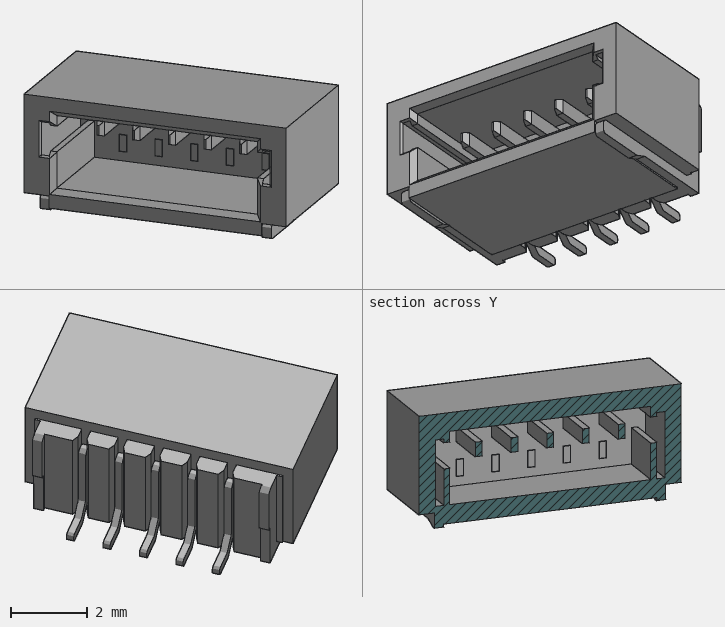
import cadquery as cq
import math


body_width = 7.36
body_depth = 3.7
body_top = 3.14
side_bottom = 0.42
floor_bottom = 0.08
floor_width = 5.96

wall_face = 2.8
cavity_width = 5.62
cavity_bottom = 0.61
cavity_top = 2.61
cavity_lead_in = 0.15
key_middle = 1.965
key_width = 6.42
key_height = 0.91
key_lead_in = 0.05
neck_height = 0.71
neck_lead_in = key_lead_in + (key_height - neck_height) / 2
neck_outer_width = 5.98
key_floor = cavity_bottom

rear_width = 6.49
rear_face = 4.19
rear_top = 2.83
rear_bottom = 0.13
ledge_width = 6.8
ledge_face = 3.75
slot_width = 0.24
slot_flare = 0.095
slot_flare_depth = 0.19

pin_count = 5
pin_pitch = 1.0
pin_width = 0.2
contact_tip = 1.0
contact_bottom = 1.825
contact_top = 2.24
tip_bevel = 0.07
tip_slope = 70
tip_length = tip_bevel * math.tan(math.radians(tip_slope))
barb_bottom = 0.875
barb_top = 1.34
barb_tip = wall_face - 0.04
riser_face = 4.055
crown_radius = 0.18
crown_flat = 0.045
crown_top = 2.355
foot_end = 5.05
foot_thickness = 0.26
foot_end_radius = 0.1
foot_top_bend = 4.395
foot_bottom_bend = 4.3
foot_bend_radius = 0.12
riser_bend_radius = 0.155

clip_thickness = (rear_width - floor_width) / 2
clip_front = 0.045
clip_back = 4.3
clip_pad_end = 1.52
clip_pad_slope_end = 1.885
clip_front_bevel = 0.09
clip_front_bevel_radius = 0.08
clip_front_bottom_radius = 0.09
tab_back = 4.41
tab_bottom = 1.405
tab_bottom_bevel = 0.04
tab_bevel_depth = 0.18
tab_bevel_height = 0.08
tab_corner_radius = 0.095

pin_positions = [(i - (pin_count - 1) / 2) * pin_pitch for i in range(pin_count)]


def centered_box(width, y_front, y_back, z_bottom, z_top):
    """Box centred on X = 0."""
    size = (width, y_back - y_front, z_top - z_bottom)
    return cq.Workplane("XY").box(*size, centered=False).translate((-width / 2, y_front, z_bottom))


def side_plate(outline, x_middle, thickness):
    """Extrude a closed outline drawn in the YZ plane, centred on x_middle."""
    return outline.extrude(thickness / 2, both=True).translate((x_middle, 0, 0))


def round_corner(plate, y, z, radius):
    """Fillet the X-parallel edge of a plate at (y, z)."""
    reach = 0.01
    corner = cq.selectors.BoxSelector(
        (-body_width, y - reach, z - reach), (body_width, y + reach, z + reach)
    )
    return plate.edges("|X").edges(corner).fillet(radius)


def flared_opening(width, height, z_middle, lead_in, flare_width=True):
    """Opening from the mating face to the back wall with a 45 degree lead-in."""
    mouth_width = width + 2 * lead_in if flare_width else width
    mouth = (
        cq.Workplane("XZ", origin=(0, 0, z_middle))
        .rect(mouth_width, height + 2 * lead_in)
        .workplane(offset=-lead_in)
        .rect(width, height)
        .loft(ruled=True)
    )
    bore = centered_box(width, 0, wall_face, z_middle - height / 2, z_middle + height / 2)
    return bore.union(mouth)


def housing_shell():
    shell = centered_box(body_width, 0, body_depth, side_bottom, body_top)
    shell = shell.union(centered_box(floor_width, 0, body_depth, floor_bottom, side_bottom))
    cavity_height = cavity_top - cavity_bottom
    cavity_middle = (cavity_top + cavity_bottom) / 2
    cavity = flared_opening(cavity_width, cavity_height, cavity_middle, cavity_lead_in)
    neck = flared_opening(neck_outer_width, neck_height, key_middle, neck_lead_in, flare_width=False)
    key = flared_opening(key_width, key_height, key_middle, key_lead_in)
    lips = centered_box(neck_outer_width, 0, wall_face, 0, body_top)
    key_well = centered_box(key_width, key_lead_in, wall_face, key_floor, key_middle)
    return shell.cut(cavity).cut(neck).cut(key.union(key_well).cut(lips))


def rear_block():
    block = centered_box(rear_width, body_depth, rear_face, rear_bottom, rear_top)
    block = block.union(centered_box(ledge_width, body_depth, ledge_face, side_bottom, rear_top))
    half_slot = slot_width / 2
    half_mouth = half_slot + slot_flare
    flare_start = rear_face - slot_flare_depth
    slot = (
        cq.Workplane("XY")
        .moveTo(-half_slot, body_depth)
        .lineTo(-half_slot, flare_start)
        .lineTo(-half_mouth, rear_face)
        .lineTo(half_mouth, rear_face)
        .lineTo(half_slot, flare_start)
        .lineTo(half_slot, body_depth)
        .close()
        .extrude(body_top)
    )
    for x in pin_positions:
        block = block.cut(slot.translate((x, 0, 0)))
    return block


def terminal():
    """Stamped terminal: contact and barb, a crowned riser behind them, and a solder foot."""
    riser_inside = riser_face - 2 * crown_radius - crown_flat
    crown_base = crown_top - crown_radius
    slope_run = foot_top_bend - riser_face
    outline = (
        cq.Workplane("YZ")
        .moveTo(foot_bottom_bend, 0)
        .lineTo(foot_end, 0)
        .lineTo(foot_end, foot_thickness)
        .lineTo(foot_top_bend, foot_thickness)
        .lineTo(riser_face, foot_thickness + slope_run)
        .lineTo(riser_face, crown_base)
        .tangentArcPoint((riser_face - crown_radius, crown_top), relative=False)
        .lineTo(riser_inside + crown_radius, crown_top)
        .tangentArcPoint((riser_inside, crown_base), relative=False)
        .lineTo(riser_inside, foot_bottom_bend - riser_inside)
        .close()
    )
    plate = side_plate(outline, 0, pin_width)
    plate = round_corner(plate, foot_end, 0, foot_end_radius)
    plate = round_corner(plate, foot_end, foot_thickness, foot_end_radius)
    plate = round_corner(plate, foot_top_bend, foot_thickness, foot_bend_radius)
    plate = round_corner(plate, riser_face, foot_thickness + slope_run, riser_bend_radius)
    plate = round_corner(plate, foot_bottom_bend, 0, foot_bend_radius)

    tip_base = contact_tip + tip_length
    contact_height = contact_top - contact_bottom
    contact = centered_box(pin_width, tip_base, body_depth, contact_bottom, contact_top)
    tip = (
        cq.Workplane("XZ", origin=(0, tip_base, (contact_top + contact_bottom) / 2))
        .rect(pin_width, contact_height)
        .workplane(offset=tip_length)
        .rect(pin_width - 2 * tip_bevel, contact_height - 2 * tip_bevel)
        .loft(ruled=True)
    )
    barb = centered_box(pin_width, barb_tip, body_depth, barb_bottom, barb_top)
    return plate.union(contact).union(tip).union(barb)


def clip(x_middle):
    """L-shaped hold-down plate under one side of the body, with a tab behind it."""
    outline = (
        cq.Workplane("YZ")
        .moveTo(clip_front, 0)
        .lineTo(clip_pad_end, 0)
        .lineTo(clip_pad_slope_end, rear_bottom)
        .lineTo(clip_back, rear_bottom)
        .lineTo(clip_back, tab_bottom)
        .lineTo(tab_back - tab_bottom_bevel, tab_bottom)
        .lineTo(tab_back, tab_bottom + tab_bottom_bevel)
        .lineTo(tab_back, rear_top - tab_bevel_height)
        .lineTo(tab_back - tab_bevel_depth, rear_top)
        .lineTo(body_depth, rear_top)
        .lineTo(body_depth, side_bottom)
        .lineTo(clip_front + clip_front_bevel, side_bottom)
        .lineTo(clip_front, side_bottom - clip_front_bevel)
        .close()
    )
    plate = side_plate(outline, x_middle, clip_thickness)
    plate = round_corner(plate, clip_front, 0, clip_front_bottom_radius)
    plate = round_corner(plate, clip_front, side_bottom - clip_front_bevel, clip_front_bevel_radius)
    plate = round_corner(plate, tab_back, rear_top - tab_bevel_height, tab_corner_radius)
    return round_corner(plate, tab_back - tab_bevel_depth, rear_top, tab_corner_radius)


result = housing_shell().union(rear_block())
for x in pin_positions:
    result = result.union(terminal().translate((x, 0, 0)))
for side in (-1, 1):
    result = result.union(clip(side * (rear_width - clip_thickness) / 2))